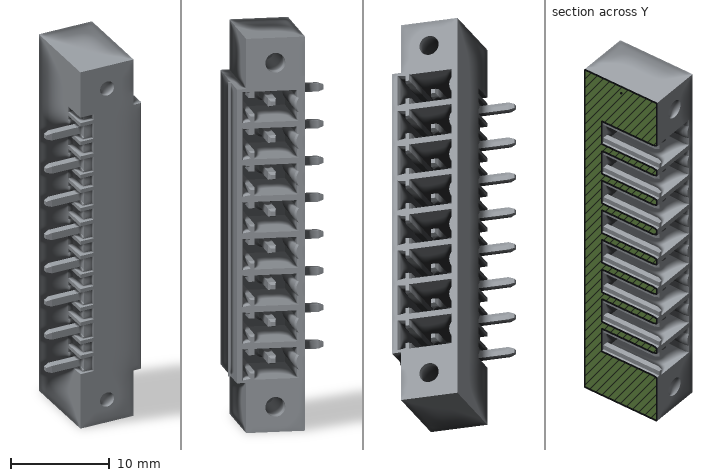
import cadquery as cq
import math


PIN_COUNT = 8
PITCH = 3.81
DEPTH_X = 9.2
LENGTH_Z = 40.88
FLANGE_Y = 6.05
BLOCK_Y = 7.0
BLOCK_Z = PIN_COUNT * PITCH
BLOCK_CHAMFER = 0.15
AXIS_Y = 3.04

RIDGE_X = 3.15
RIDGE_WIDTH = 0.4
RIDGE_HEIGHT = 0.25
RIDGE_CHAMFER = 0.12

CAVITY_FLOOR_X = 7.0
LEAD_IN_LENGTH = 0.5
LEAD_IN_FLARE = 0.12
CAVITY_Y_MIN = 0.74
CAVITY_Y_MAX = 6.28
MOUTH_HALF_Z = 1.6
FLOOR_HALF_Z = 1.47
RIB_Y_MIN = 5.08
RIB_Y_MAX = 5.7
RIB_TIP_HALF_Z = 0.83
KEYWAY_NECK_HALF_Z = 1.37
KEYWAY_OUTER_HALF_Z = 1.5
BULGE_HALF_Z = 0.75
BULGE_HEIGHT = 0.26

PIN_SIZE = 0.8
PIN_TIP_SIZE = 0.45
PIN_TAPER = 0.57
CONTACT_TIP_X = 1.25
SOLDER_X = 8.0
SOLDER_LENGTH = 3.4
COLLAR_DIAMETER = 1.8
COLLAR_HEIGHT = 0.25

INSERT_DIAMETER = 4.0
INSERT_LENGTH = 6.0
THREAD_DIAMETER = 2.05
SCREW_HOLE_DIAMETER = 1.6
INSERT_Z = (BLOCK_Z + LENGTH_Z) / 4

RECESS_X = 6.5
REAR_DEPTH = 1.5
PIN_SLOT_HALF_Z = 0.86
PIN_SLOT_DEPTH = 0.45
PIN_SLOT_REAR_X = 8.85
FUNNEL_HALF_Z = 0.7
FUNNEL_ANGLE = 18
SLOT_RIB_HALF_Z = 0.4
SLOT_RIB_HEIGHT = 0.25
SPACER_HALF_Z = 0.635
SPACER_FRONT_DEPTH = 0.5
SPACER_DEPTH = 0.6
SPACER_RAMP_X = 6.76
SPACER_RAMP_END_X = 7.13
SPACER_REAR_X = 8.72

PIN_Z = [(i - (PIN_COUNT - 1) / 2) * PITCH for i in range(PIN_COUNT)]


def box(x, y, z):
    """Box spanning the given (min, max) pairs."""
    size = [hi - lo for lo, hi in (x, y, z)]
    return cq.Workplane("XY").box(*size, centered=False).translate((x[0], y[0], z[0]))


def rod_x(diameter, x_start, x_end, z):
    """Cylinder along X on the contact axis height."""
    return (
        cq.Workplane("YZ", origin=(x_start, AXIS_Y, z))
        .circle(diameter / 2)
        .extrude(x_end - x_start)
    )


def make_housing():
    flange_bar = box((0, DEPTH_X), (0, FLANGE_Y), (-LENGTH_Z / 2, LENGTH_Z / 2))
    block = box((0, DEPTH_X), (0, BLOCK_Y), (-BLOCK_Z / 2, BLOCK_Z / 2))
    block = block.edges(">X and >Y").chamfer(BLOCK_CHAMFER)
    ridge = box(
        (RIDGE_X, RIDGE_X + RIDGE_WIDTH),
        (FLANGE_Y, BLOCK_Y + RIDGE_HEIGHT),
        (-BLOCK_Z / 2, BLOCK_Z / 2),
    )
    ridge = ridge.edges(">X and >Y").chamfer(RIDGE_CHAMFER)
    return flange_bar.union(block).union(ridge)


def cavity_outline(x, flare):
    """Closed cavity outline in the plane at x, grown outwards by flare except at the side walls."""
    y_min = CAVITY_Y_MIN - flare
    y_max = CAVITY_Y_MAX + flare
    rib_low = RIB_Y_MIN + flare
    rib_high = RIB_Y_MAX - flare
    rib_tip = RIB_TIP_HALF_Z + flare
    half = [
        (y_min, MOUTH_HALF_Z),
        (rib_low, MOUTH_HALF_Z),
        (rib_low, rib_tip),
        (rib_high, rib_tip),
        (rib_high, KEYWAY_NECK_HALF_Z + flare),
        (y_max, KEYWAY_OUTER_HALF_Z + flare),
    ]
    mirrored = [(y, -z) for y, z in reversed(half)]
    return (
        cq.Workplane("YZ", origin=(x, 0, 0))
        .moveTo(y_min, -BULGE_HALF_Z)
        .threePointArc((y_min + BULGE_HEIGHT, 0), (y_min, BULGE_HALF_Z))
        .polyline(half + mirrored, includeCurrent=True)
        .close()
    )


def make_cavity():
    """Plug cavity around z = 0 with a flared mouth."""
    pocket = cavity_outline(0, 0).extrude(CAVITY_FLOOR_X)
    mouth_wire = cavity_outline(0, LEAD_IN_FLARE).val()
    throat_wire = cavity_outline(LEAD_IN_LENGTH, 0).val()
    mouth = cq.Solid.makeLoft([mouth_wire, throat_wire], True)
    cavity = pocket.union(cq.Workplane(mouth))

    rib_middle_y = (RIB_Y_MIN + RIB_Y_MAX) / 2
    chamber_draft = (
        cq.Workplane("XZ")
        .polyline([
            (0, -MOUTH_HALF_Z),
            (CAVITY_FLOOR_X, -FLOOR_HALF_Z),
            (CAVITY_FLOOR_X, FLOOR_HALF_Z),
            (0, MOUTH_HALF_Z),
        ])
        .close()
        .extrude(-rib_middle_y)
    )
    keyway_space = box((0, CAVITY_FLOOR_X), (rib_middle_y, BLOCK_Y), (-PITCH / 2, PITCH / 2))
    return cavity.intersect(chamber_draft.union(keyway_space))


def make_pin_slot():
    """Recess around a solder pin at z = 0, open at the rear."""
    slot_z = (-PIN_SLOT_HALF_Z, PIN_SLOT_HALF_Z)
    slot = box((RECESS_X, PIN_SLOT_REAR_X), (0, PIN_SLOT_DEPTH), slot_z)
    rear = box((PIN_SLOT_REAR_X, DEPTH_X), (0, REAR_DEPTH), slot_z)

    wall_rib = (
        cq.Workplane("XZ", origin=(RECESS_X, 0, 0))
        .moveTo(0, -SLOT_RIB_HALF_Z)
        .threePointArc((SLOT_RIB_HEIGHT, 0), (0, SLOT_RIB_HALF_Z))
        .close()
        .extrude(-PIN_SLOT_DEPTH)
    )

    pin_rear_x = SOLDER_X + PIN_SIZE / 2
    funnel_drop = (PIN_SLOT_REAR_X - pin_rear_x) * math.tan(math.radians(FUNNEL_ANGLE))
    funnel_depth = PIN_SLOT_DEPTH + funnel_drop
    funnel_plan = (
        cq.Workplane("XZ")
        .polyline([
            (pin_rear_x, -PIN_SIZE / 2),
            (PIN_SLOT_REAR_X, -FUNNEL_HALF_Z),
            (PIN_SLOT_REAR_X, FUNNEL_HALF_Z),
            (pin_rear_x, PIN_SIZE / 2),
        ])
        .close()
        .extrude(-funnel_depth)
    )
    funnel_ramp = (
        cq.Workplane("XY")
        .polyline([
            (pin_rear_x, 0),
            (PIN_SLOT_REAR_X, 0),
            (PIN_SLOT_REAR_X, funnel_depth),
            (pin_rear_x, PIN_SLOT_DEPTH),
        ])
        .close()
        .extrude(FUNNEL_HALF_Z, both=True)
    )
    funnel = funnel_plan.intersect(funnel_ramp)
    return slot.cut(wall_rib).union(rear).union(funnel)


def make_spacer_slot(z_min, z_max):
    """Stepped recess between two pin slots, open at the rear."""
    return (
        cq.Workplane("XY", origin=(0, 0, z_min))
        .polyline([
            (RECESS_X, 0),
            (RECESS_X, SPACER_FRONT_DEPTH),
            (SPACER_RAMP_X, SPACER_FRONT_DEPTH),
            (SPACER_RAMP_END_X, SPACER_DEPTH),
            (SPACER_REAR_X, SPACER_DEPTH),
            (SPACER_REAR_X, REAR_DEPTH),
            (DEPTH_X, REAR_DEPTH),
            (DEPTH_X, 0),
        ])
        .close()
        .extrude(z_max - z_min)
    )


def tapered_bar(plane, tip, length):
    """Square bar with a tapered tip, growing from the tip along the plane normal."""
    taper = (
        cq.Workplane(plane, origin=tip)
        .rect(PIN_TIP_SIZE, PIN_TIP_SIZE)
        .workplane(offset=PIN_TAPER)
        .rect(PIN_SIZE, PIN_SIZE)
        .loft(ruled=True)
    )
    shaft = (
        cq.Workplane(plane, origin=tip)
        .workplane(offset=PIN_TAPER)
        .rect(PIN_SIZE, PIN_SIZE)
        .extrude(length - PIN_TAPER)
    )
    return taper.union(shaft)


def make_pin():
    """Right-angle pin at z = 0 with the conical collar at the cavity floor."""
    contact_length = SOLDER_X + PIN_SIZE / 2 - CONTACT_TIP_X
    contact = tapered_bar("YZ", (CONTACT_TIP_X, AXIS_Y, 0), contact_length)
    solder = tapered_bar("ZX", (SOLDER_X, -SOLDER_LENGTH, 0), SOLDER_LENGTH + AXIS_Y)
    collar = cq.Workplane(cq.Solid.makeCone(
        COLLAR_DIAMETER / 2,
        COLLAR_DIAMETER / 2 - COLLAR_HEIGHT,
        COLLAR_HEIGHT,
        pnt=cq.Vector(CAVITY_FLOOR_X, AXIS_Y, 0),
        dir=cq.Vector(-1, 0, 0),
    ))
    return contact.union(solder).union(collar)


def add_screw_inserts(body):
    """Flush threaded inserts; their faces stay separate from the housing face."""
    for z in (-INSERT_Z, INSERT_Z):
        body = body.cut(rod_x(INSERT_DIAMETER, 0, INSERT_LENGTH, z), clean=False)
        body = body.cut(rod_x(SCREW_HOLE_DIAMETER, 0, DEPTH_X, z), clean=False)
        insert = rod_x(INSERT_DIAMETER, 0, INSERT_LENGTH, z)
        insert = insert.cut(rod_x(THREAD_DIAMETER, 0, INSERT_LENGTH, z))
        body = body.union(insert, clean=False)
    return body


def make_header():
    body = make_housing()
    cavity = make_cavity()
    pin_slot = make_pin_slot()
    pin = make_pin()
    for z in PIN_Z:
        offset = (0, 0, z)
        top = z + PITCH / 2
        is_last = z == PIN_Z[-1]
        spacer_end = top if is_last else top + SPACER_HALF_Z
        body = body.cut(cavity.translate(offset))
        body = body.cut(pin_slot.translate(offset))
        body = body.cut(make_spacer_slot(top - SPACER_HALF_Z, spacer_end))
    for z in PIN_Z:
        body = body.union(pin.translate((0, 0, z)))
    return add_screw_inserts(body)


result = make_header()